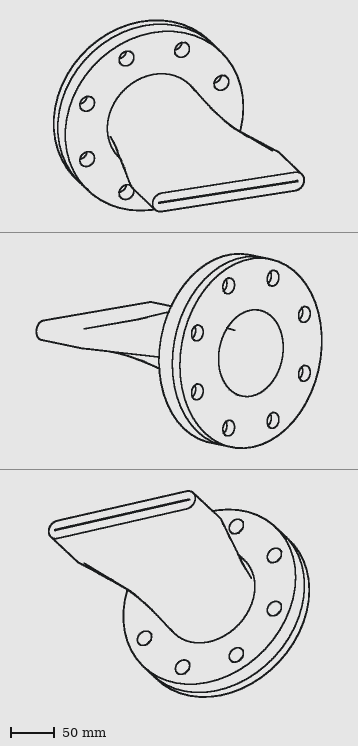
import cadquery as cq
import math

total_length = 262.0

flange_diameter = 220.0
valve_flange_thickness = 12.8
backing_ring_thickness = 22.8
bolt_count = 8
bolt_circle_diameter = 179.5
bolt_hole_diameter = 18.0
first_bolt_angle = 180.0 / bolt_count

wall_thickness = 7.9
neck_diameter = 116.0
neck_projection = 8.0
bill_length = 69.2
bill_width = 187.3
bill_thickness = 23.0
slit_height = 1.0
side_blend_angle = 7.0

bore_diameter = neck_diameter - 2 * wall_thickness
cavity_width = bill_width - 2 * wall_thickness
cavity_height = bill_thickness - 2 * wall_thickness
ring_back_x = valve_flange_thickness + backing_ring_thickness
neck_end_x = ring_back_x + neck_projection
bill_start_x = total_length - bill_length


def disc(start_x, thickness, diameter):
    """Round plate or plug on the flow axis."""
    return cq.Workplane("YZ", origin=(start_x, 0, 0)).circle(diameter / 2).extrude(thickness)


def bolt_holes(start_x, thickness):
    """Cutters for the bolt holes, which straddle the Y and Z axes."""
    return (
        cq.Workplane("YZ", origin=(start_x, 0, 0))
        .polarArray(bolt_circle_diameter / 2, first_bolt_angle, 360, bolt_count)
        .circle(bolt_hole_diameter / 2)
        .extrude(thickness)
    )


def section_wire(x, corner_y, corner_z, side_y, arch_z=None):
    """Outline at x with rounded sides; top and bottom are arched to arch_z, or flat without it."""
    right_top = cq.Vector(x, corner_y, corner_z)
    left_top = cq.Vector(x, -corner_y, corner_z)
    left_bottom = cq.Vector(x, -corner_y, -corner_z)
    right_bottom = cq.Vector(x, corner_y, -corner_z)
    if arch_z is None:
        top = cq.Edge.makeLine(right_top, left_top)
        bottom = cq.Edge.makeLine(left_bottom, right_bottom)
    else:
        top = cq.Edge.makeThreePointArc(right_top, cq.Vector(x, 0, arch_z), left_top)
        bottom = cq.Edge.makeThreePointArc(left_bottom, cq.Vector(x, 0, -arch_z), right_bottom)
    left = cq.Edge.makeThreePointArc(left_top, cq.Vector(x, -side_y, 0), left_bottom)
    right = cq.Edge.makeThreePointArc(right_bottom, cq.Vector(x, side_y, 0), right_top)
    return cq.Wire.assembleEdges([top, left, bottom, right])


def round_section(x, diameter):
    """Circle split where it blends into the corners of the bill."""
    radius = diameter / 2
    angle = math.radians(side_blend_angle)
    return section_wire(x, radius * math.cos(angle), radius * math.sin(angle), radius, radius)


def flat_section(x, width, height):
    """Slot outline with flat top and bottom and fully rounded sides."""
    half_height = height / 2
    return section_wire(x, width / 2 - half_height, half_height, width / 2)


def ruled_body(start_section, end_section):
    """Solid with straight walls from one section to the next."""
    return cq.Workplane(cq.Solid.makeLoft([start_section, end_section], True))


def sleeve_outside():
    """Flange, neck, taper and flat bill, before hollowing."""
    flange = disc(0, valve_flange_thickness, flange_diameter)
    neck = disc(0, neck_end_x, neck_diameter)
    taper = ruled_body(
        round_section(neck_end_x, neck_diameter),
        flat_section(bill_start_x, bill_width, bill_thickness),
    )
    bill = ruled_body(
        flat_section(bill_start_x, bill_width, bill_thickness),
        flat_section(total_length, bill_width, bill_thickness),
    )
    return flange.union(neck).union(taper).union(bill)


def flow_passage():
    """Bore that flattens through the taper and narrows to a slit at the lips."""
    bore = disc(0, neck_end_x, bore_diameter)
    taper = ruled_body(
        round_section(neck_end_x, bore_diameter),
        flat_section(bill_start_x, cavity_width, cavity_height),
    )
    lips = ruled_body(
        flat_section(bill_start_x, cavity_width, cavity_height),
        flat_section(total_length, cavity_width, slit_height),
    )
    return bore.union(taper).union(lips)


def make_duckbill_valve():
    """Sleeve with its own flange, hollow from the inlet to the lips."""
    return sleeve_outside().cut(flow_passage()).cut(bolt_holes(0, valve_flange_thickness))


def make_backing_ring():
    """Ring behind the valve flange, fitting around the neck."""
    ring = disc(valve_flange_thickness, backing_ring_thickness, flange_diameter)
    neck_hole = disc(valve_flange_thickness, backing_ring_thickness, neck_diameter)
    return ring.cut(neck_hole).cut(bolt_holes(valve_flange_thickness, backing_ring_thickness))


duckbill_valve = make_duckbill_valve()
backing_ring = make_backing_ring()

result = cq.Compound.makeCompound([
    *duckbill_valve.solids().vals(),
    *backing_ring.solids().vals(),
])